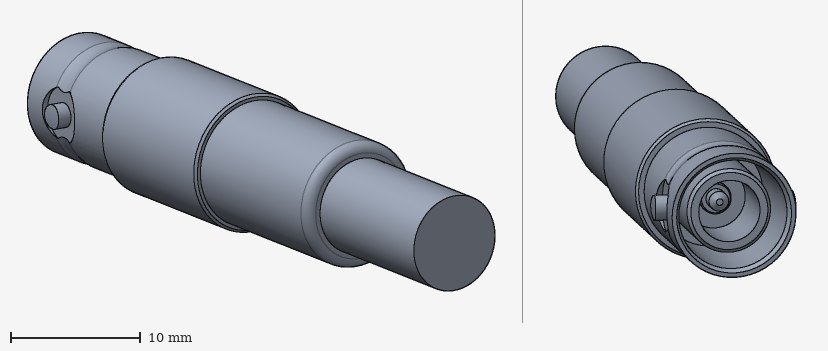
import cadquery as cq

TOTAL_LENGTH = 51.2

COUPLING_RADIUS = 4.85
GRIP_DIAMETER = 11.0
GRIP_RADIUS = GRIP_DIAMETER / 2
GRIP_START = 11.0
GRIP_END = 23.85
GRIP_CHAMFER = 0.2
REAR_RADIUS = 5.0
REAR_END = 38.4
REAR_FILLET = 0.8
TAIL_RADIUS = 3.8

MOUTH_RADIUS = 4.5
MOUTH_FLARE_LENGTH = 0.45
BORE_ENTRY_RADIUS = 4.25
BORE_FLOOR_RADIUS = 4.1
BORE_DEPTH = 9.2

STUD_X = 4.25
STUD_RADIUS = 0.95
FLAT_RADIUS = 2.2
FLAT_OFFSET = 4.35
GROOVE_HALF_WIDTH = 0.9
GROOVE_DEPTH = 0.15

INSULATOR_TIP_X = 1.85
INSULATOR_RADIUS = 3.3
INSULATOR_CHAMFER = 0.25
INSULATOR_CAVITY_RADIUS = 2.4
INSULATOR_FLOOR_THICKNESS = 1.55
INSULATOR_FLOOR_X = BORE_DEPTH - INSULATOR_FLOOR_THICKNESS

COLLAR_RADIUS = 1.25
COLLAR_CHAMFER = 0.1
COLLAR_PROTRUSION = 0.5
COLLAR_FRONT_X = INSULATOR_FLOOR_X - COLLAR_PROTRUSION
PIN_RADIUS = 0.75
PIN_TIP_RADIUS = 0.25
PIN_LENGTH = 1.55
PIN_TAPER_LENGTH = 0.35
PIN_TIP_X = COLLAR_FRONT_X - PIN_LENGTH


def revolve_about_x(profile):
    """Revolve a closed profile of (x, radius) around the X axis."""
    return profile.close().revolve(360, (0, 0, 0), (1, 0, 0))


def make_shell():
    """Stepped outer body with its blind bore and groove, without the studs."""
    groove_bottom = (STUD_X, COUPLING_RADIUS - GROOVE_DEPTH)
    groove_end = (STUD_X + GROOVE_HALF_WIDTH, COUPLING_RADIUS)
    profile = (
        cq.Workplane("XY")
        .moveTo(BORE_DEPTH, 0)
        .lineTo(BORE_DEPTH, BORE_FLOOR_RADIUS)
        .lineTo(MOUTH_FLARE_LENGTH, BORE_ENTRY_RADIUS)
        .lineTo(0, MOUTH_RADIUS)
        .lineTo(0, COUPLING_RADIUS)
        .lineTo(STUD_X - GROOVE_HALF_WIDTH, COUPLING_RADIUS)
        .threePointArc(groove_bottom, groove_end)
        .lineTo(GRIP_START, COUPLING_RADIUS)
        .lineTo(GRIP_START, GRIP_RADIUS - GRIP_CHAMFER)
        .lineTo(GRIP_START + GRIP_CHAMFER, GRIP_RADIUS)
        .lineTo(GRIP_END - GRIP_CHAMFER, GRIP_RADIUS)
        .lineTo(GRIP_END, GRIP_RADIUS - GRIP_CHAMFER)
        .lineTo(GRIP_END, REAR_RADIUS)
        .lineTo(REAR_END - REAR_FILLET, REAR_RADIUS)
        .tangentArcPoint((REAR_END, REAR_RADIUS - REAR_FILLET), relative=False)
        .lineTo(REAR_END, TAIL_RADIUS)
        .lineTo(TOTAL_LENGTH, TAIL_RADIUS)
        .lineTo(TOTAL_LENGTH, 0)
    )
    return revolve_about_x(profile)


def make_cross_cylinder(radius, side, start, end):
    """Cylinder along Y at the stud position, from start to end on the given side."""
    return (
        cq.Workplane("XZ", origin=(STUD_X, side * start, 0))
        .circle(radius)
        .extrude(-side * (end - start))
    )


def make_stud(side):
    """Bayonet stud whose end is rounded to the grip radius."""
    envelope = cq.Workplane("YZ").circle(GRIP_RADIUS).extrude(GRIP_START)
    return make_cross_cylinder(STUD_RADIUS, side, FLAT_OFFSET, GRIP_RADIUS).intersect(envelope)


def make_housing():
    housing = make_shell()
    for side in (-1, 1):
        housing = housing.cut(make_cross_cylinder(FLAT_RADIUS, side, FLAT_OFFSET, GRIP_RADIUS))
        housing = housing.union(make_stud(side))
    return housing


def make_insulator():
    profile = (
        cq.Workplane("XY")
        .moveTo(BORE_DEPTH, COLLAR_RADIUS)
        .lineTo(BORE_DEPTH, INSULATOR_RADIUS)
        .lineTo(INSULATOR_TIP_X + INSULATOR_CHAMFER, INSULATOR_RADIUS)
        .lineTo(INSULATOR_TIP_X, INSULATOR_RADIUS - INSULATOR_CHAMFER)
        .lineTo(INSULATOR_TIP_X, INSULATOR_CAVITY_RADIUS)
        .lineTo(INSULATOR_FLOOR_X, INSULATOR_CAVITY_RADIUS)
        .lineTo(INSULATOR_FLOOR_X, COLLAR_RADIUS)
    )
    return revolve_about_x(profile)


def make_contact():
    profile = (
        cq.Workplane("XY")
        .moveTo(BORE_DEPTH, 0)
        .lineTo(BORE_DEPTH, COLLAR_RADIUS)
        .lineTo(COLLAR_FRONT_X + COLLAR_CHAMFER, COLLAR_RADIUS)
        .lineTo(COLLAR_FRONT_X, COLLAR_RADIUS - COLLAR_CHAMFER)
        .lineTo(COLLAR_FRONT_X, PIN_RADIUS)
        .lineTo(PIN_TIP_X + PIN_TAPER_LENGTH, PIN_RADIUS)
        .lineTo(PIN_TIP_X, PIN_TIP_RADIUS)
        .lineTo(PIN_TIP_X, 0)
    )
    return revolve_about_x(profile)


housing = make_housing()
insulator = make_insulator()
contact = make_contact()

result = cq.Compound.makeCompound([housing.val(), insulator.val(), contact.val()])